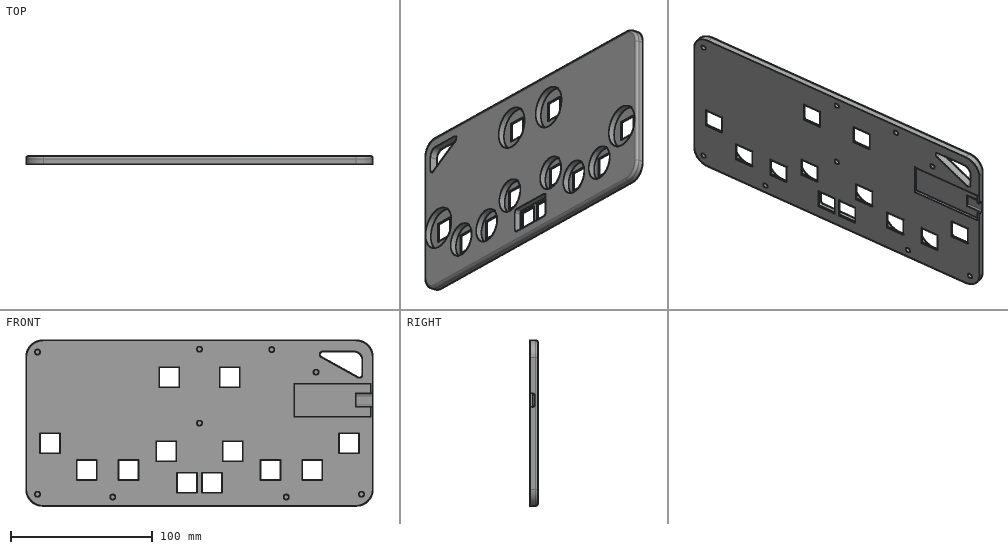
import cadquery as cq
import math

length = 245.0
height = 117.0
thickness = 6.0
corner_radius = 12.0
back_edge_fillet = 2.0

window_side = 14.0
web_thickness = 1.2
small_recess_diameter = 24.0
large_recess_diameter = 30.0
small_recess_windows = [(79.6, -33.0), (50.2, -33.0), (23.5, -19.8)]
large_recess_windows = [(105.5, -14.2), (21.3, 32.3)]

thumb_x = 8.8
thumb_z = -42.1
thumb_recess_margin = 1.7
thumb_recess_radius = 2.0

screw_diameter = 3.7
screw_depth = 4.0
corner_screw_x = 114.5
corner_screw_z = 50.2
lower_screw_x = 61.2
lower_screw_z = -52.2
screw_points = [
    (-corner_screw_x, corner_screw_z),
    (-corner_screw_x, -corner_screw_z),
    (corner_screw_x, -corner_screw_z),
    (-lower_screw_x, lower_screw_z),
    (lower_screw_x, lower_screw_z),
    (0, 0),
    (0, 52.2),
    (51.0, 52.0),
    (82.3, 36.0),
]

pocket_left = 67.0
pocket_right = 120.8
pocket_height = 23.0
pocket_z = 16.2
pocket_depth = 2.2
slot_left = 110.2
slot_width = 9.5
slot_depth = 3.5
slot_floor_radius = 1.5

strap_right = 115.0
strap_top = 50.5
strap_width = 35.5
strap_slope = 29.0
strap_corner_radius = 6.0
strap_tip_radius = 2.0


def front_sketch(depth):
    """Workplane parallel to the front face, `depth` behind it; extrusions go towards +Y."""
    return cq.Workplane("XZ", origin=(0, depth, 0))


def mirrored(points):
    return [(side * x, z) for x, z in points for side in (-1, 1)]


def make_plate():
    plate = front_sketch(0).rect(length, height).extrude(-thickness)
    plate = plate.edges("|Y").fillet(corner_radius)
    return plate.faces(">Y").edges().fillet(back_edge_fillet)


def make_windows():
    points = mirrored(small_recess_windows + large_recess_windows + [(thumb_x, thumb_z)])
    return front_sketch(0).pushPoints(points).rect(window_side, window_side).extrude(-thickness)


def make_round_recesses(windows, diameter):
    back = front_sketch(web_thickness).pushPoints(mirrored(windows))
    return back.circle(diameter / 2).extrude(web_thickness - thickness)


def make_thumb_recess():
    recess_height = window_side + 2 * thumb_recess_margin
    recess_width = recess_height + 2 * thumb_x
    recess = front_sketch(web_thickness).center(0, thumb_z).rect(recess_width, recess_height)
    return recess.extrude(web_thickness - thickness).edges("|Y").fillet(thumb_recess_radius)


def make_screw_holes():
    return front_sketch(0).pushPoints(screw_points).circle(screw_diameter / 2).extrude(-screw_depth)


def make_board_pocket():
    pocket_width = pocket_right - pocket_left
    pocket = front_sketch(0).center((pocket_left + pocket_right) / 2, pocket_z)
    return pocket.rect(pocket_width, pocket_height).extrude(-pocket_depth)


def make_connector_slot():
    slot_length = length / 2 - slot_left
    slot = front_sketch(0).center(slot_left + slot_length / 2, pocket_z)
    slot = slot.rect(slot_length, slot_width).extrude(-slot_depth)
    return slot.faces(">Y").edges("|X").fillet(slot_floor_radius)


def make_strap_opening():
    strap_height = strap_width * math.tan(math.radians(strap_slope))
    corner = (strap_right, strap_top)
    tips = [(strap_right - strap_width, strap_top), (strap_right, strap_top - strap_height)]
    opening = front_sketch(0).polyline([corner] + tips).close().extrude(-thickness)
    opening = opening.edges(cq.selectors.NearestToPointSelector((strap_right, thickness / 2, strap_top)))
    opening = opening.fillet(strap_corner_radius)
    for x, z in tips:
        tip_edge = cq.selectors.NearestToPointSelector((x, thickness / 2, z))
        opening = opening.edges(tip_edge).fillet(strap_tip_radius)
    return opening


result = (
    make_plate()
    .cut(make_windows())
    .cut(make_round_recesses(small_recess_windows, small_recess_diameter))
    .cut(make_round_recesses(large_recess_windows, large_recess_diameter))
    .cut(make_thumb_recess())
    .cut(make_screw_holes())
    .cut(make_board_pocket())
    .cut(make_connector_slot())
    .cut(make_strap_opening())
)